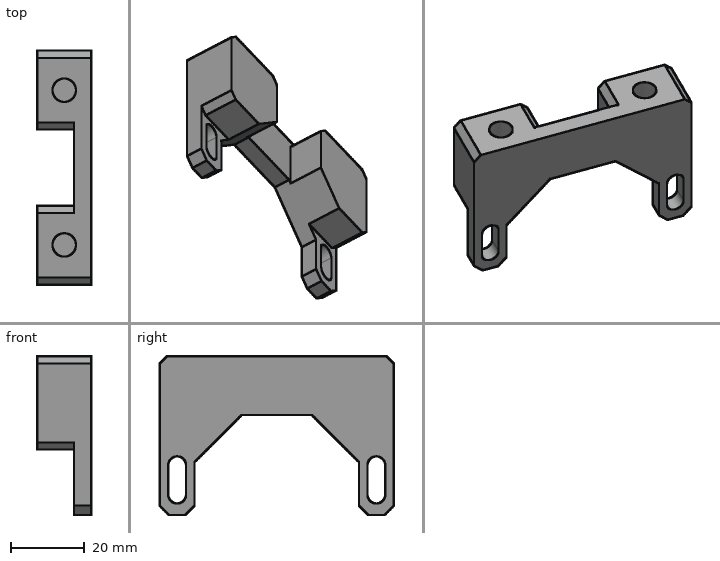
import cadquery as cq

length = 63.5
height = 43.08
plate_thickness = 4.76
block_depth = 10.0
total_depth = block_depth + plate_thickness

bridge_height = 16.0
arch_top_width = 19.05
arm_width = 9.525
arm_chamfer = 2.54

block_gap = 20.56
block_height = 25.36
block_chamfer = 2.0

hole_diameter = 6.35
hole_spacing = 41.91
hole_depth = 12.7
slot_width = 4.76
slot_length = 12.7
slot_end_margin = 3.175

half_length = length / 2
half_arch_top = arch_top_width / 2
arm_inner = half_length - arm_width
arm_center = half_length - arm_width / 2
arch_top = height - bridge_height
arch_shoulder = arch_top - (arm_inner - half_arch_top)
half_gap = block_gap / 2
block_bottom = height - block_height
slope_offset = arch_top + half_arch_top
slope_top = slope_offset - half_gap
slope_foot = slope_offset - block_bottom


def extrude_yz(points, x_start, depth):
    """Extrude a closed outline in the YZ plane towards +X."""
    return cq.Workplane("YZ", origin=(x_start, 0, 0)).polyline(points).close().extrude(depth)


def make_plate():
    """Arched plate with one slotted arm at each end."""
    half_outline = [
        (half_arch_top, arch_top),
        (arm_inner, arch_shoulder),
        (arm_inner, arm_chamfer),
        (arm_inner + arm_chamfer, 0),
        (half_length - arm_chamfer, 0),
        (half_length, arm_chamfer),
        (half_length, height - block_chamfer),
        (half_length - block_chamfer, height),
    ]
    mirrored = [(-y, z) for y, z in reversed(half_outline)]
    return extrude_yz(half_outline + mirrored, block_depth, plate_thickness)


def make_block(side):
    """Block in front of the plate; its lower inner corner follows the arch slope."""
    outline = [
        (half_gap, slope_top),
        (slope_foot, block_bottom),
        (half_length - block_chamfer, block_bottom),
        (half_length, block_bottom + block_chamfer),
        (half_length, height - block_chamfer),
        (half_length - block_chamfer, height),
        (half_gap + block_chamfer, height),
        (half_gap, height - block_chamfer),
    ]
    return extrude_yz([(side * y, z) for y, z in outline], 0, block_depth)


def make_hole(side):
    """Blind hole down into the top of a block."""
    return (
        cq.Workplane("XY", origin=(total_depth / 2, side * hole_spacing / 2, height))
        .circle(hole_diameter / 2)
        .extrude(-hole_depth)
    )


def make_slot(side):
    """Upright slot through the thickness of an arm."""
    slot_center = slot_end_margin + slot_length / 2
    return (
        cq.Workplane("YZ", origin=(block_depth, side * arm_center, slot_center))
        .slot2D(slot_length, slot_width, 90)
        .extrude(plate_thickness)
    )


sides = (-1, 1)

result = make_plate()
for side in sides:
    result = result.union(make_block(side))
for side in sides:
    result = result.cut(make_hole(side)).cut(make_slot(side))